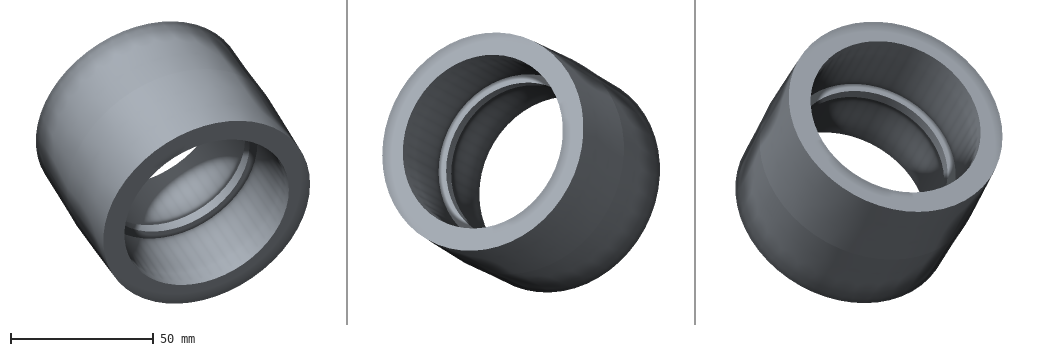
import cadquery as cq

length = 60.0
middle_diameter = 81.0
end_diameter = 79.2
socket_diameter = 63.0
bore_diameter = 57.0
stop_width = 4.0

half_length = length / 2
socket_depth = (length - stop_width) / 2


def crowned_body():
    """Solid body whose two cones meet at the largest diameter, at mid length."""
    return (
        cq.Workplane("XY")
        .moveTo(-half_length, 0)
        .lineTo(-half_length, end_diameter / 2)
        .lineTo(0, middle_diameter / 2)
        .lineTo(half_length, end_diameter / 2)
        .lineTo(half_length, 0)
        .close()
        .revolve(360, (0, 0, 0), (1, 0, 0))
    )


def round_cut(start_x, diameter, depth):
    """Cylinder on the X axis that reaches from start_x in the +X direction."""
    return cq.Workplane("YZ", origin=(start_x, 0, 0)).circle(diameter / 2).extrude(depth)


result = crowned_body().cut(round_cut(-half_length, bore_diameter, length))
for socket_start in (-half_length, half_length - socket_depth):
    result = result.cut(round_cut(socket_start, socket_diameter, socket_depth))